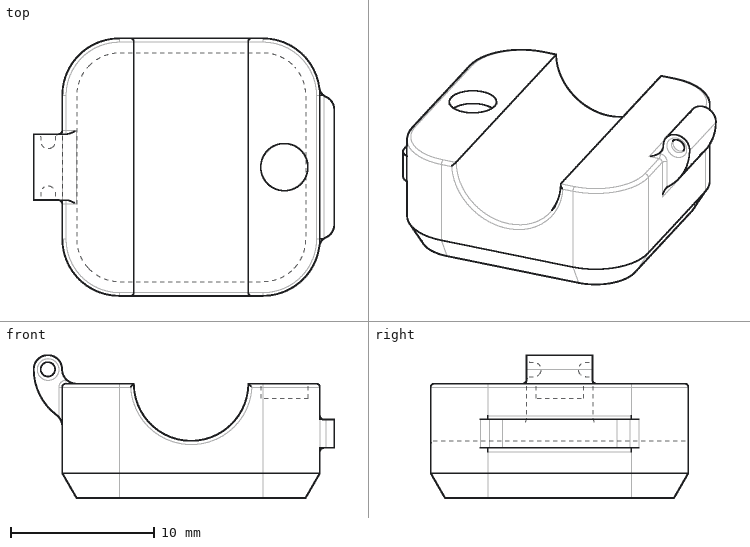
import cadquery as cq
import math

overall_length = 21.0
body_size = 18.0
body_height = 8.0
corner_radius = 4.0
edge_round = 0.25
base_inset = 1.0
base_chamfer_height = base_inset * math.tan(math.radians(60))
wall = body_size / 2

channel_radius = 4.0
pocket_diameter = 3.3
pocket_depth = 1.0
pocket_x = 6.5

tab_reach = 1.0
tab_bottom = 3.5
tab_top = 5.5
tab_half_width = wall - corner_radius
tab_root_radius = 0.75

lug_width = 4.62
lug_radius = (overall_length - body_size - tab_reach) / 2
lug_back_radius = 4.0
lug_root_radius = 1.0
lug_x = -wall - lug_radius
lug_z = body_height + lug_radius
dimple_diameter = 1.0
dimple_straight_depth = 0.5


def make_body():
    body = cq.Workplane("XY").rect(body_size, body_size).extrude(body_height)
    body = body.edges("|Z").fillet(corner_radius)
    body = body.faces("<Z").chamfer(base_chamfer_height, base_inset)
    return body.faces(">Z").edges().fillet(edge_round)


def make_channel():
    """Half-round channel whose two ends flare out with a rounded rim."""
    rim_radius = channel_radius + edge_round
    rim_start = wall - edge_round
    rim_mid = edge_round * math.sqrt(0.5)
    mid_radius = rim_radius - rim_mid
    mid_y = rim_start + rim_mid
    profile = (
        cq.Workplane("XY")
        .moveTo(0, -wall)
        .lineTo(rim_radius, -wall)
        .threePointArc((mid_radius, -mid_y), (channel_radius, -rim_start))
        .lineTo(channel_radius, rim_start)
        .threePointArc((mid_radius, mid_y), (rim_radius, wall))
        .lineTo(0, wall)
        .close()
    )
    return profile.revolve(360, (0, 0, 0), (0, 1, 0)).translate((0, 0, body_height))


def make_pocket():
    pocket = cq.Workplane("XY").workplane(offset=body_height - pocket_depth)
    return pocket.center(pocket_x, 0).circle(pocket_diameter / 2).extrude(pocket_depth)


def flare_profile(plane, half_width):
    """Section of a strip with concave sides, widest at the surface it stands on."""
    wide = half_width + edge_round
    inner = edge_round * (1 - math.sqrt(0.5))
    return (
        cq.Workplane(plane)
        .moveTo(0, -wide)
        .threePointArc((inner, -half_width - inner), (edge_round, -half_width))
        .lineTo(edge_round, half_width)
        .threePointArc((inner, half_width + inner), (0, wide))
        .lineTo(-edge_round / 2, wide)
        .lineTo(-edge_round / 2, -wide)
        .close()
    )


def make_tab():
    """Flat tab with convex corners, blended into the rounded body corners."""
    inside = wall - corner_radius
    round_y = tab_half_width - tab_reach

    to_body = corner_radius + tab_root_radius
    to_tab = tab_reach + tab_root_radius
    spacing = math.hypot(corner_radius, tab_reach)
    along = (to_body**2 - to_tab**2 + spacing**2) / (2 * spacing)
    across = math.sqrt(to_body**2 - along**2)
    blend_x = inside + (along * corner_radius + across * tab_reach) / spacing
    blend_y = inside + (across * corner_radius - along * tab_reach) / spacing
    body_ratio = corner_radius / to_body
    tab_ratio = tab_reach / to_tab
    body_x = inside + (blend_x - inside) * body_ratio
    body_y = inside + (blend_y - inside) * body_ratio
    touch_x = wall + (blend_x - wall) * tab_ratio
    touch_y = round_y + (blend_y - round_y) * tab_ratio
    tip_x = wall + tab_reach

    def blend_point(angle):
        return (
            blend_x + tab_root_radius * math.cos(angle),
            blend_y + tab_root_radius * math.sin(angle),
        )

    body_angle = math.atan2(inside - blend_y, inside - blend_x)
    tab_angle = math.atan2(round_y - blend_y, wall - blend_x)
    blend_mid = blend_point((body_angle + tab_angle) / 2)
    corner_angle = math.atan2(touch_y - round_y, touch_x - wall) / 2
    corner_mid = (wall + tab_reach * math.cos(corner_angle), round_y + tab_reach * math.sin(corner_angle))

    half_tab = (
        cq.Workplane("XY")
        .workplane(offset=tab_bottom)
        .moveTo(inside, 0)
        .lineTo(inside, body_y)
        .lineTo(body_x, body_y)
        .threePointArc(blend_mid, (touch_x, touch_y))
        .threePointArc(corner_mid, (tip_x, round_y))
        .lineTo(tip_x, 0)
        .close()
        .extrude(tab_top - tab_bottom)
    )
    root_plane = cq.Plane(
        origin=(wall, tab_half_width, (tab_bottom + tab_top) / 2), xDir=(1, 0, 0), normal=(0, -1, 0)
    )
    root = flare_profile(root_plane, (tab_top - tab_bottom) / 2).extrude(2 * tab_half_width)
    return half_tab.union(half_tab.mirror("XZ")).union(root)


def lug_blank(width):
    """Lug outline in XZ, extruded to the given width about Y = 0."""
    back_x = lug_x - lug_radius + lug_back_radius
    blend_x = -wall - lug_root_radius
    reach = lug_back_radius + lug_root_radius
    blend_z = lug_z - math.sqrt(reach**2 - (back_x - blend_x) ** 2)
    touch_angle = math.atan2(lug_z - blend_z, back_x - blend_x)
    touch = (
        blend_x + lug_root_radius * math.cos(touch_angle),
        blend_z + lug_root_radius * math.sin(touch_angle),
    )
    blend_mid = (
        blend_x + lug_root_radius * math.cos(touch_angle / 2),
        blend_z + lug_root_radius * math.sin(touch_angle / 2),
    )
    back_angle = touch_angle / 2
    back_mid = (
        back_x - lug_back_radius * math.cos(back_angle),
        lug_z - lug_back_radius * math.sin(back_angle),
    )
    neck_mid = lug_radius * (1 - math.sqrt(0.5))
    neck_x = -wall + lug_radius
    return (
        cq.Workplane("XZ")
        .moveTo(neck_x, body_height)
        .threePointArc((-wall + neck_mid, body_height + neck_mid), (-wall, lug_z))
        .threePointArc((lug_x, lug_z + lug_radius), (lug_x - lug_radius, lug_z))
        .threePointArc(back_mid, touch)
        .threePointArc(blend_mid, (-wall, blend_z))
        .lineTo(neck_x, blend_z)
        .close()
        .extrude(width / 2, both=True)
    )


def make_lug_flare():
    """Concave rounding of the lug sides, following the wall, the rounded edge and the top."""
    half_width = lug_width / 2
    edge_z = body_height - edge_round
    wall_plane = cq.Plane(origin=(-wall, 0, edge_z), xDir=(-1, 0, 0), normal=(0, 0, -1))
    top_plane = cq.Plane(origin=(-wall + edge_round, 0, body_height), xDir=(0, 0, 1), normal=(1, 0, 0))
    on_wall = flare_profile(wall_plane, half_width).extrude(edge_z)
    on_top = flare_profile(top_plane, half_width).extrude(lug_radius)
    on_edge = flare_profile(wall_plane, half_width).revolve(90, (-edge_round, -0.2, 0), (-edge_round, 0.2, 0))
    blank = lug_blank(lug_width + 2 * edge_round)
    return on_wall.union(on_edge).union(on_top).intersect(blank)


def make_dimple():
    """Round-bottomed pin socket with a rounded mouth, opening at the -Y end of the lug."""
    radius = dimple_diameter / 2
    mouth = radius + edge_round
    mid = edge_round * (1 - math.sqrt(0.5))
    end_y = -lug_width / 2
    straight_y = end_y + dimple_straight_depth
    diagonal = radius * math.sqrt(0.5)
    return (
        cq.Workplane("XY")
        .moveTo(0, end_y)
        .lineTo(mouth, end_y)
        .threePointArc((radius + mid, end_y + mid), (radius, end_y + edge_round))
        .lineTo(radius, straight_y)
        .threePointArc((diagonal, straight_y + diagonal), (0, straight_y + radius))
        .close()
        .revolve(360, (0, 0, 0), (0, 1, 0))
        .translate((lug_x, 0, lug_z))
    )


dimple = make_dimple()
result = make_body().cut(make_channel()).cut(make_pocket())
result = result.union(make_tab())
result = result.union(lug_blank(lug_width)).union(make_lug_flare())
result = result.cut(dimple).cut(dimple.mirror("XZ"))